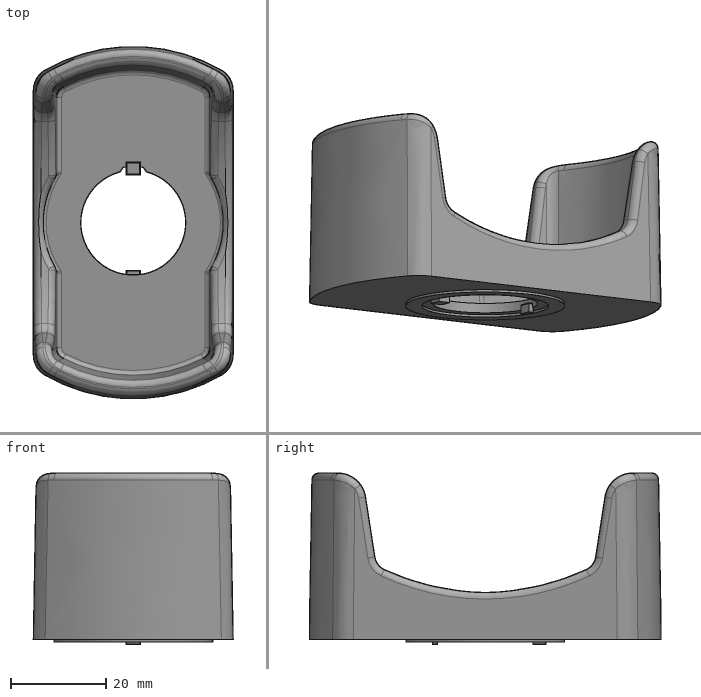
import cadquery as cq
import math

WIDTH = 42.0
END_RADIUS = 37.0
HEIGHT = 35.0
OUTER_DRAFT = 1.0
OUTER_CORNER_RADIUS = 5.0

INNER_DRAFT = 2.0
WALL = 5.0
FLOOR = 2.0
INNER_CORNER_RADIUS = 2.5
FLOOR_FILLET = 1.0
RECESS_RADIUS = 18.9
RECESS_FLOOR_FILLET = 0.6
RECESS_CORNER_FILLET = 1.8
RIM_FILLET = 1.5

SADDLE_HEIGHT = 10.0
SADDLE_RADIUS = 50.0
OPENING_HALF_LENGTH = 25.9
OPENING_LEAN = 8.8
SADDLE_CORNER_RADIUS = 3.5
POST_TOP_RADIUS = 6.0

HOLE_DIAMETER = 22.0
NOTCH_TOP_Y = 11.65
NOTCH_TOP_HALF_WIDTH = 2.05
NOTCH_BASE_Y = 10.6
NOTCH_CORNER_RADIUS = 0.5
NOTCH_BASE_HALF_WIDTH = 2.8

RING_OUTER_DIAMETER = 33.4
RING_INNER_DIAMETER = 26.6
RING_HEIGHT = 0.5

TAB_WIDTH = 3.0
TAB_INNER_Y = 10.0
KEY_TAB_OUTER_Y = 12.75
REAR_TAB_OUTER_Y = 11.1
TAB_BOTTOM = -1.0
TAB_TOP = 1.0
TAB_CHAMFER = 0.2

MARGIN = 5.0


def draft_shift(height, draft):
    """Sideways travel of a drafted wall over a height."""
    return height * math.tan(math.radians(draft))


def domed_prism(half_width, end_radius, wide_z, narrow_z, draft, corner_radius):
    """Prism with two straight sides and two end arcs centred on the Z axis.

    The given outline lies at wide_z; the walls lean inward by the draft angle toward narrow_z.
    """
    height = abs(narrow_z - wide_z)
    corner_y = math.sqrt(end_radius**2 - half_width**2)
    prism = (
        cq.Workplane("XY")
        .moveTo(half_width, -corner_y)
        .lineTo(half_width, corner_y)
        .threePointArc((0, end_radius), (-half_width, corner_y))
        .lineTo(-half_width, -corner_y)
        .threePointArc((0, -end_radius), (half_width, -corner_y))
        .close()
        .extrude(height, taper=draft)
    )
    wall_corners = cq.selectors.BoxSelector(
        (-end_radius, -end_radius, height / 4), (end_radius, end_radius, height * 3 / 4)
    )
    prism = prism.edges(wall_corners).fillet(corner_radius)
    if narrow_z < wide_z:
        prism = prism.mirror("XY")
    return prism.translate((0, 0, wide_z))


def side_profile():
    """Prism along X whose upper outline is the two posts and the saddle between them."""
    lean = math.radians(OPENING_LEAN)
    saddle_center_z = SADDLE_HEIGHT + SADDLE_RADIUS
    drop = saddle_center_z - HEIGHT
    along = drop * math.cos(lean) - OPENING_HALF_LENGTH * math.sin(lean)
    distance_squared = OPENING_HALF_LENGTH**2 + drop**2
    edge_length = -along + math.sqrt(along**2 + SADDLE_RADIUS**2 - distance_squared)
    saddle_y = OPENING_HALF_LENGTH - edge_length * math.sin(lean)
    saddle_z = HEIGHT - edge_length * math.cos(lean)

    outer_y = END_RADIUS + MARGIN
    half_length = WIDTH / 2 + MARGIN
    prism = (
        cq.Workplane("YZ", origin=(-half_length, 0, 0))
        .moveTo(-outer_y, 0)
        .lineTo(-outer_y, HEIGHT)
        .lineTo(-OPENING_HALF_LENGTH, HEIGHT)
        .lineTo(-saddle_y, saddle_z)
        .threePointArc((0, SADDLE_HEIGHT), (saddle_y, saddle_z))
        .lineTo(OPENING_HALF_LENGTH, HEIGHT)
        .lineTo(outer_y, HEIGHT)
        .lineTo(outer_y, 0)
        .close()
        .extrude(2 * half_length)
    )
    for side in (-1, 1):
        post_top = cq.selectors.NearestToPointSelector((0, side * OPENING_HALF_LENGTH, HEIGHT))
        prism = prism.edges("|X").edges(post_top).fillet(POST_TOP_RADIUS)
        saddle_end = cq.selectors.NearestToPointSelector((0, side * saddle_y, saddle_z))
        prism = prism.edges("|X").edges(saddle_end).fillet(SADDLE_CORNER_RADIUS)
    return prism


def cavity():
    """Drafted pocket above the floor, widened by a round recess around the hole."""
    top_z = HEIGHT + MARGIN
    depth = top_z - FLOOR
    spread = draft_shift(depth, INNER_DRAFT)
    half_width = WIDTH / 2 - WALL + spread
    end_radius = END_RADIUS - WALL + spread
    pocket = domed_prism(half_width, end_radius, top_z, FLOOR, INNER_DRAFT, INNER_CORNER_RADIUS)
    pocket = pocket.faces("<Z").edges().fillet(FLOOR_FILLET)
    recess = cq.Workplane("XY", origin=(0, 0, FLOOR)).circle(RECESS_RADIUS).extrude(depth)
    recess = recess.faces("<Z").edges().fillet(RECESS_FLOOR_FILLET)
    return pocket.union(recess)


def round_rim(body, rim_y):
    """Round the closed, tangent rim edge that passes over the -Y end wall at rim_y."""
    rim = cq.selectors.NearestToPointSelector((0, -rim_y, HEIGHT))
    return body.faces(">Z").edges(rim).fillet(RIM_FILLET)


def shell():
    """Walls and floor; the outer and inner rim rounds may cut into each other."""
    profile = side_profile()

    outside = domed_prism(WIDTH / 2, END_RADIUS, 0, HEIGHT, OUTER_DRAFT, OUTER_CORNER_RADIUS)
    outside = outside.intersect(profile)
    outside = round_rim(outside, END_RADIUS - draft_shift(HEIGHT, OUTER_DRAFT))

    inside = profile.cut(cavity())
    corner_x = WIDTH / 2 - WALL
    corner_y = math.sqrt(RECESS_RADIUS**2 - corner_x**2)
    mid_z = (FLOOR + SADDLE_HEIGHT) / 2
    for x in (-corner_x, corner_x):
        for y in (-corner_y, corner_y):
            corner = cq.selectors.NearestToPointSelector((x, y, mid_z))
            inside = inside.edges(corner).fillet(RECESS_CORNER_FILLET)
    inside = round_rim(inside, END_RADIUS - WALL + draft_shift(HEIGHT - FLOOR, INNER_DRAFT))
    return outside.intersect(inside)


def ring():
    return (
        cq.Workplane("XY")
        .circle(RING_OUTER_DIAMETER / 2)
        .circle(RING_INNER_DIAMETER / 2)
        .extrude(-RING_HEIGHT)
    )


def floor_hole():
    """Round hole with a trapezoidal notch on the +Y side."""
    hole = cq.Workplane("XY").circle(HOLE_DIAMETER / 2).extrude(FLOOR)
    notch = (
        cq.Workplane("XY")
        .moveTo(-NOTCH_BASE_HALF_WIDTH, NOTCH_BASE_Y)
        .lineTo(-NOTCH_TOP_HALF_WIDTH, NOTCH_TOP_Y)
        .lineTo(NOTCH_TOP_HALF_WIDTH, NOTCH_TOP_Y)
        .lineTo(NOTCH_BASE_HALF_WIDTH, NOTCH_BASE_Y)
        .close()
        .extrude(FLOOR)
    )
    notch = notch.edges("|Z and >Y").fillet(NOTCH_CORNER_RADIUS)
    return hole.union(notch)


def block(y_start, y_end, z_start, z_end):
    """Box of the tab width, centred on X = 0."""
    return (
        cq.Workplane("XY", origin=(0, (y_start + y_end) / 2, z_start))
        .rect(TAB_WIDTH, abs(y_end - y_start))
        .extrude(z_end - z_start)
    )


def tab(y_start, y_end):
    return block(y_start, y_end, TAB_BOTTOM, TAB_TOP).faces(">Z").edges().chamfer(TAB_CHAMFER)


key_pocket = block(TAB_INNER_Y, KEY_TAB_OUTER_Y, TAB_TOP - TAB_CHAMFER, FLOOR)

result = (
    shell()
    .union(ring())
    .cut(floor_hole())
    .cut(key_pocket)
    .union(tab(TAB_INNER_Y, KEY_TAB_OUTER_Y))
    .union(tab(-TAB_INNER_Y, -REAR_TAB_OUTER_Y))
)